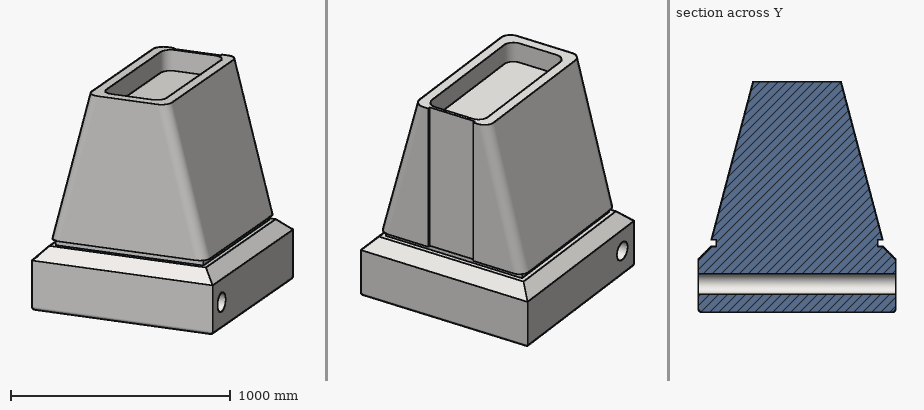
import cadquery as cq

base_side = 900.0
base_wall_top = 240.0
bevel = 60.0
bottom_rounding = 20.0
shoulder_top = base_wall_top + bevel

neck_side = 735.0
neck_height = 29.0

total_height = 1050.0
tower_bottom_z = shoulder_top + neck_height
tower_bottom_width = base_side - 2 * bevel
tower_top_width = 400.0
tower_depth = 790.0
tower_corner_radius = 50.0

pocket_width = 300.0
pocket_length = 708.0
pocket_offset_y = 13.0
pocket_depth = 100.0
pocket_corner_radius = 50.0

channel_width = 240.0
channel_depth = 13.0

hole_diameter = 90.0
hole_y = -350.0
hole_z = 130.0


def make_base():
    base = cq.Workplane("XY").box(base_side, base_side, shoulder_top, centered=(True, True, False))
    base = base.faces(">Z").chamfer(bevel)
    base = base.faces("<Z").edges().fillet(bottom_rounding)
    hole = (
        cq.Workplane("YZ")
        .center(hole_y, hole_z)
        .circle(hole_diameter / 2)
        .extrude(base_side, both=True)
    )
    return base.cut(hole)


def make_neck():
    return (
        cq.Workplane("XY", origin=(0, 0, shoulder_top))
        .rect(neck_side, neck_side)
        .extrude(neck_height)
    )


def make_tower():
    half_bottom = tower_bottom_width / 2
    half_top = tower_top_width / 2
    tower = (
        cq.Workplane("XZ")
        .moveTo(-half_bottom, tower_bottom_z)
        .lineTo(half_bottom, tower_bottom_z)
        .lineTo(half_top, total_height)
        .lineTo(-half_top, total_height)
        .close()
        .extrude(tower_depth / 2, both=True)
    )
    return tower.edges("not(|X or |Y)").fillet(tower_corner_radius)


def make_pocket():
    return (
        cq.Workplane("XY", origin=(0, pocket_offset_y, total_height - pocket_depth))
        .rect(pocket_width, pocket_length)
        .extrude(pocket_depth)
        .edges("|Z")
        .fillet(pocket_corner_radius)
    )


def make_back_channel():
    return (
        cq.Workplane("XY", origin=(0, tower_depth / 2, tower_bottom_z))
        .rect(channel_width, 2 * channel_depth)
        .extrude(total_height - tower_bottom_z)
    )


tower = make_tower().cut(make_pocket()).cut(make_back_channel())
result = make_base().union(make_neck()).union(tower)